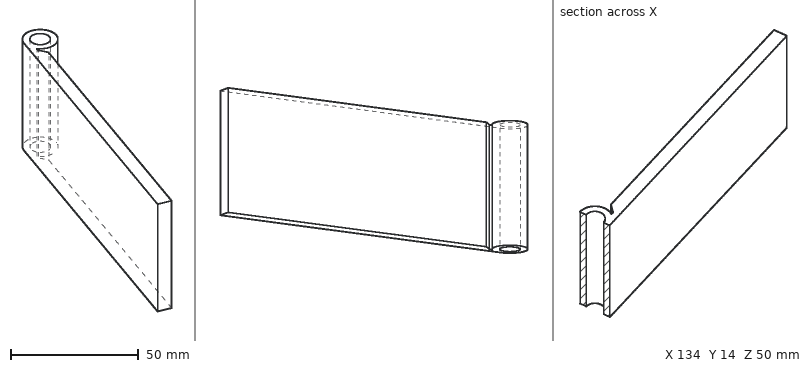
import cadquery as cq

total_length = 134.0
leaf_height = 50.0

knuckle_diameter = 14.0
pin_hole_diameter = 8.0
knuckle_radius = knuckle_diameter / 2
knuckle_wall = (knuckle_diameter - pin_hole_diameter) / 2

leaf_thickness = 6.0
leaf_end_x = total_length - knuckle_radius
outer_face_y = -knuckle_radius
inner_face_y = outer_face_y + leaf_thickness

notch_floor_y = outer_face_y + knuckle_wall
ramp_start_x = knuckle_radius
ramp_end_x = ramp_start_x + inner_face_y - notch_floor_y


def make_leaf():
    return (
        cq.Workplane("XY")
        .moveTo(0, outer_face_y)
        .lineTo(leaf_end_x, outer_face_y)
        .lineTo(leaf_end_x, inner_face_y)
        .lineTo(ramp_end_x, inner_face_y)
        .lineTo(ramp_start_x, notch_floor_y)
        .lineTo(0, notch_floor_y)
        .close()
        .extrude(leaf_height)
    )


def make_knuckle():
    return cq.Workplane("XY").circle(knuckle_radius).extrude(leaf_height)


def make_pin_hole():
    return cq.Workplane("XY").circle(pin_hole_diameter / 2).extrude(leaf_height)


result = make_leaf().union(make_knuckle()).cut(make_pin_hole())